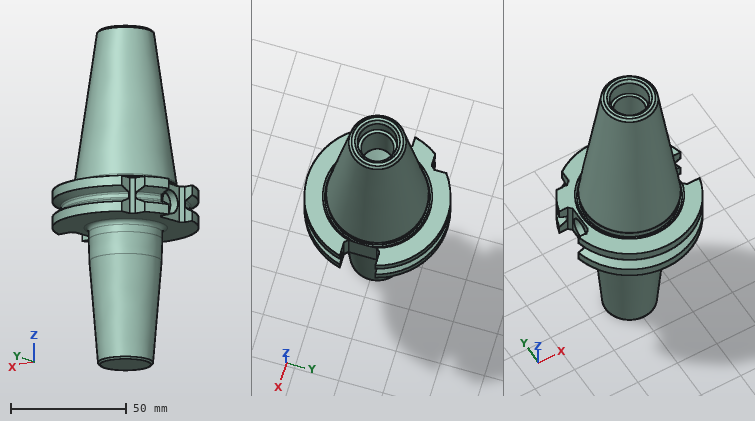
import cadquery as cq
import math

total_height = 148.4
gauge_z = 80.0
flange_top = 76.9
flange_bottom = 61.0
flange_mid = (flange_top + flange_bottom) / 2

taper_ratio = 7 / 24
gauge_radius = 22.3
end_radius = gauge_radius - (total_height - gauge_z) * taper_ratio / 2
end_chamfer = 1.0
relief_depth = 0.3
relief_top = 78.8

flange_radius = 31.8
groove_floor_radius = 27.9
groove_floor_half = 1.3
groove_mouth_half = 3.5
groove_fillet = 0.9
face_recess_radius = 23.7
face_recess_depth = 0.9

neck_radius = 16.0
neck_fillet = 2.1
neck_bottom = 55.6
nose_cone_top = 46.0
nose_cone_radius = 15.7
nose_end_radius = 12.0
nose_end_chamfer = 0.9

slot_half_width = 8.0
slot_floor_left = 25.0
slot_floor_right = 22.7
corner_chamfer = 1.6
notch_x = -18.7
notch_y = 18.5

counterbore_radius = 8.6
counterbore_depth = 8.8
counterbore_chamfer = 1.2
bore_radius = 7.1
bore_depth = 29.7
drill_half_angle = math.radians(59)
side_hole_radius = 5.2
side_hole_depth = 4.0


def body():
    relief_radius = gauge_radius - relief_depth
    profile = (
        cq.Workplane("XZ")
        .moveTo(0, 0)
        .lineTo(nose_end_radius - nose_end_chamfer, 0)
        .lineTo(nose_end_radius, nose_end_chamfer)
        .lineTo(nose_cone_radius, nose_cone_top)
        .lineTo(neck_radius, neck_bottom)
        .lineTo(neck_radius, flange_bottom - neck_fillet)
        .radiusArc((neck_radius + neck_fillet, flange_bottom), neck_fillet)
        .lineTo(flange_radius, flange_bottom)
        .lineTo(flange_radius, flange_mid - groove_mouth_half)
        .lineTo(groove_floor_radius, flange_mid - groove_floor_half)
        .lineTo(groove_floor_radius, flange_mid + groove_floor_half)
        .lineTo(flange_radius, flange_mid + groove_mouth_half)
        .lineTo(flange_radius, flange_top)
        .lineTo(face_recess_radius, flange_top)
        .lineTo(face_recess_radius - face_recess_depth, flange_top - face_recess_depth)
        .lineTo(relief_radius, flange_top - face_recess_depth)
        .lineTo(relief_radius, relief_top)
        .lineTo(gauge_radius, relief_top + relief_depth)
        .lineTo(gauge_radius, gauge_z)
        .lineTo(end_radius + end_chamfer * taper_ratio / 2, total_height - end_chamfer)
        .lineTo(end_radius - end_chamfer, total_height)
        .lineTo(0, total_height)
        .close()
    )
    turned = profile.revolve(360, (0, 0), (0, 1))
    floor_edges = cq.selectors.BoxSelector(
        (-flange_radius, -flange_radius, flange_mid - groove_floor_half - groove_fillet),
        (flange_radius, flange_radius, flange_mid + groove_floor_half + groove_fillet),
        boundingbox=True,
    )
    return turned.edges("%CIRCLE").edges(floor_edges).fillet(groove_fillet)


def drive_slot(side, floor):
    """Full-height slot with chamfered floor corners; side is -1 or +1 along X."""
    outer = flange_radius + 1.5
    outline = [
        (outer, slot_half_width),
        (floor + corner_chamfer, slot_half_width),
        (floor, slot_half_width - corner_chamfer),
        (floor, corner_chamfer - slot_half_width),
        (floor + corner_chamfer, -slot_half_width),
        (outer, -slot_half_width),
    ]
    return flange_cut([(side * x, y) for x, y in outline])


def corner_notch():
    outer = flange_radius + 1.5
    return flange_cut([
        (-outer, notch_y),
        (notch_x - corner_chamfer, notch_y),
        (notch_x, notch_y + corner_chamfer),
        (notch_x, outer),
        (-outer, outer),
    ])


def flange_cut(outline):
    """Prism through the flange thickness."""
    plane = cq.Workplane("XY").workplane(offset=flange_bottom)
    return plane.polyline(outline).close().extrude(flange_top - flange_bottom)


def end_bore():
    """Chamfered counterbore and drilled hole in the small end of the taper."""
    step_z = total_height - counterbore_depth
    bore_z = total_height - bore_depth
    profile = (
        cq.Workplane("XZ")
        .moveTo(0, total_height)
        .lineTo(counterbore_radius + counterbore_chamfer, total_height)
        .lineTo(counterbore_radius, total_height - counterbore_chamfer)
        .lineTo(counterbore_radius, step_z)
        .lineTo(bore_radius, step_z)
        .lineTo(bore_radius, bore_z)
        .lineTo(0, bore_z - bore_radius / math.tan(drill_half_angle))
        .close()
    )
    return profile.revolve(360, (0, 0), (0, 1))


def side_hole():
    """Flat-bottomed hole in the floor of the -X slot."""
    plane = cq.Workplane("YZ", origin=(-slot_floor_left, 0, flange_mid))
    return plane.circle(side_hole_radius).extrude(side_hole_depth)


result = (
    body()
    .cut(drive_slot(-1, slot_floor_left))
    .cut(drive_slot(1, slot_floor_right))
    .cut(corner_notch())
    .cut(end_bore())
    .cut(side_hole())
)